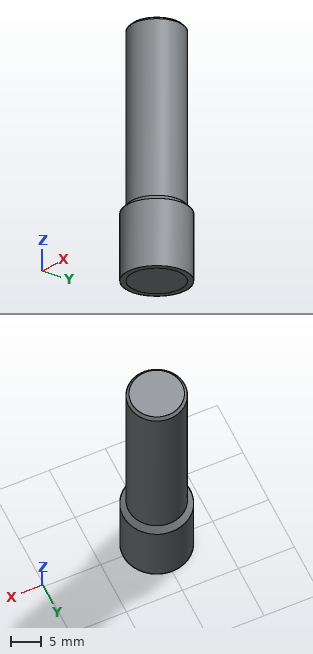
import cadquery as cq

total_length = 45.0
rod_diameter = 10.0
rod_tip_chamfer = 0.5
sleeve_diameter = 12.0
sleeve_length = 13.0

rod_radius = rod_diameter / 2
sleeve_radius = sleeve_diameter / 2
sleeve_bevel = sleeve_radius - rod_radius


def make_rod():
    """Full-length round rod with a chamfered upper end."""
    return (
        cq.Workplane("XY")
        .circle(rod_radius)
        .extrude(total_length)
        .faces(">Z")
        .chamfer(rod_tip_chamfer)
    )


def make_sleeve():
    """Tube around the foot of the rod, its wall bevelled to a sharp upper rim."""
    wall_profile = (
        cq.Workplane("XZ")
        .moveTo(rod_radius, 0)
        .lineTo(sleeve_radius, 0)
        .lineTo(sleeve_radius, sleeve_length - sleeve_bevel)
        .lineTo(rod_radius, sleeve_length)
        .close()
    )
    return wall_profile.revolve(360, (0, 0, 0), (0, 1, 0))


rod = make_rod()
sleeve = make_sleeve()

result = cq.Compound.makeCompound([rod.val(), sleeve.val()])